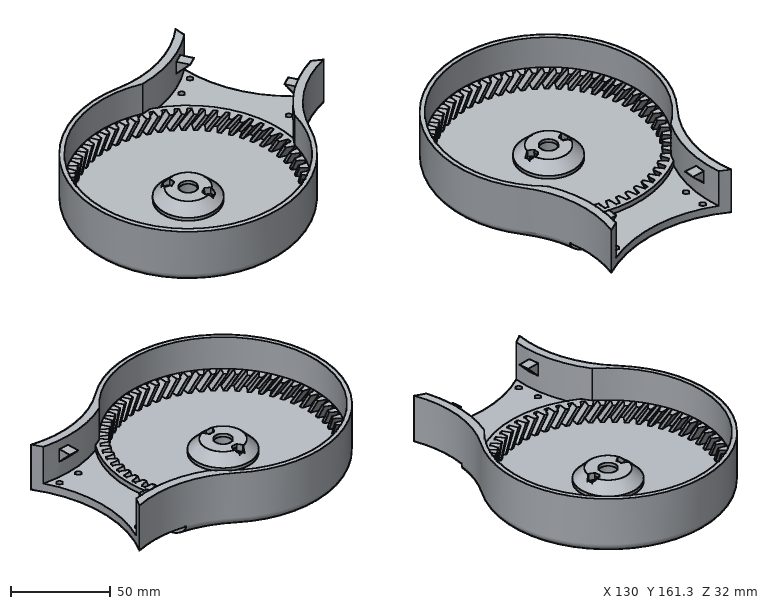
import cadquery as cq
import math

HEIGHT = 32.0
LENGTH = 161.3
DISC_RADIUS = 65.0
WALL = 2.5
INNER_RADIUS = DISC_RADIUS - WALL
TIP_Y = LENGTH - DISC_RADIUS

FLOOR_Z = 3.0
BASE_Z = 5.0
NECK_FLOOR_Z = 10.0
GEAR_TOP_Z = 13.0

SIDE_RADIUS = DISC_RADIUS
SIDE_CENTER_X = 102.4
SIDE_CENTER_Y = math.sqrt((DISC_RADIUS + SIDE_RADIUS) ** 2 - SIDE_CENTER_X ** 2)
NECK_WALL = 5.0
END_DEPTH = 11.0
BASE_RADIUS = 75.0

TEETH = 60
TIP_RADIUS = 57.5
TIP_GAP = 4.0
ROOT_GAP = 1.9
GEAR_TWIST = -6.0

HUB_RADIUS = 36.0 / 2
HUB_EDGE_Z = 5.0
HUB_TOP_Z = 11.0
HUB_TOP_RADIUS = HUB_RADIUS - (HUB_TOP_Z - HUB_EDGE_Z)
BORE_DIAMETER = 10.0
BEARING_DIAMETER = 16.5
BORE_LIP = 2.0
SCREW_DIAMETER = 3.4
HUB_SCREW_X = 11.0
NUT_FLATS = 5.8
NUT_FLOOR_Z = 7.0

NECK_SCREW_X = 28.5
NECK_SCREW_YS = (73.7, 86.8)
CLIP_INNER_X = 25.0
CLIP_OUTER_X = 33.5
CLIP_WIDTH = 6.0
CLIP_Y = SIDE_CENTER_Y
CLIP_TOP_Z = 26.6
CLIP_DROP = CLIP_OUTER_X - CLIP_INNER_X


def side_x(y, radius):
    """X of the neck side to the right of the axis, at distance y along the neck."""
    return SIDE_CENTER_X - math.sqrt(radius ** 2 - (y - SIDE_CENTER_Y) ** 2)


def cylinder(radius, bottom, top):
    return cq.Workplane("XY").workplane(offset=bottom).circle(radius).extrude(top - bottom)


def outline(circle_radius, side_radius, top_y):
    """Keyhole outline: housing circle joined to a neck with concave sides and a straight end."""
    spacing = DISC_RADIUS + SIDE_RADIUS
    cos_offset = (spacing ** 2 + circle_radius ** 2 - side_radius ** 2) / (2 * spacing * circle_radius)
    angle = math.atan2(SIDE_CENTER_Y, SIDE_CENTER_X) + math.acos(min(cos_offset, 1.0))
    join_x = circle_radius * math.cos(angle)
    join_y = circle_radius * math.sin(angle)
    middle_y = (join_y + top_y) / 2
    middle_x = side_x(middle_y, side_radius)
    end_x = side_x(top_y, side_radius)
    return (
        cq.Workplane("XY")
        .moveTo(join_x, join_y)
        .threePointArc((middle_x, middle_y), (end_x, top_y))
        .lineTo(-end_x, top_y)
        .threePointArc((-middle_x, middle_y), (-join_x, join_y))
        .threePointArc((0, -circle_radius), (join_x, join_y))
        .close()
    )


def housing():
    """Solid outer shape with a rounded bottom edge, the thin neck and its concave end."""
    body = outline(DISC_RADIUS, SIDE_RADIUS, TIP_Y).extrude(HEIGHT)
    body = body.faces("<Z").edges("not(>Y)").fillet(BASE_Z)
    neck_relief = (
        cq.Workplane("XY")
        .rect(LENGTH, 2 * LENGTH)
        .circle(BASE_RADIUS)
        .extrude(BASE_Z)
    )
    half_end = side_x(TIP_Y, SIDE_RADIUS)
    end_radius = (half_end ** 2 + END_DEPTH ** 2) / (2 * END_DEPTH)
    end_cut = cylinder(end_radius, 0, HEIGHT).translate((0, TIP_Y - END_DEPTH + end_radius, 0))
    return body.cut(neck_relief).cut(end_cut)


def interior():
    """Open space above the neck floor and above the gear."""
    space = outline(INNER_RADIUS, SIDE_RADIUS + NECK_WALL, TIP_Y).extrude(HEIGHT - NECK_FLOOR_Z)
    space = space.translate((0, 0, NECK_FLOOR_Z))
    return space.cut(cylinder(DISC_RADIUS, NECK_FLOOR_Z, GEAR_TOP_Z))


def polar(radius, degrees):
    return (radius * math.cos(math.radians(degrees)), radius * math.sin(math.radians(degrees)))


def gear_space():
    """Twisted space inside the internal gear, with one outward notch per tooth gap."""
    pitch = 360 / TEETH
    profile = cq.Workplane("XY").moveTo(*polar(TIP_RADIUS, -TIP_GAP / 2))
    for index in range(TEETH):
        angle = index * pitch
        profile = (
            profile.lineTo(*polar(INNER_RADIUS, angle - ROOT_GAP / 2))
            .lineTo(*polar(INNER_RADIUS, angle + ROOT_GAP / 2))
            .lineTo(*polar(TIP_RADIUS, angle + TIP_GAP / 2))
        )
        if index < TEETH - 1:
            profile = profile.lineTo(*polar(TIP_RADIUS, angle + pitch - TIP_GAP / 2))
    space = profile.close().twistExtrude(GEAR_TOP_Z - FLOOR_Z, GEAR_TWIST)
    return space.rotate((0, 0, 0), (0, 0, 1), -GEAR_TWIST).translate((0, 0, FLOOR_Z))


def hub():
    """Round hub with a 45 degree shoulder."""
    return (
        cq.Workplane("XZ")
        .moveTo(0, 0)
        .lineTo(HUB_RADIUS, 0)
        .lineTo(HUB_RADIUS, HUB_EDGE_Z)
        .lineTo(HUB_TOP_RADIUS, HUB_TOP_Z)
        .lineTo(0, HUB_TOP_Z)
        .close()
        .revolve()
    )


def hub_cuts():
    """Shaft bore, bearing seat from below, and two screw holes with nut pockets."""
    cuts = cylinder(BORE_DIAMETER / 2, 0, HUB_TOP_Z)
    cuts = cuts.union(cylinder(BEARING_DIAMETER / 2, 0, HUB_TOP_Z - BORE_LIP))
    nut_corners = NUT_FLATS / math.cos(math.pi / 6)
    for x in (-HUB_SCREW_X, HUB_SCREW_X):
        screw = cylinder(SCREW_DIAMETER / 2, 0, HUB_TOP_Z)
        nut = cq.Workplane("XY").polygon(6, nut_corners).extrude(HUB_TOP_Z - NUT_FLOOR_Z)
        nut = nut.rotate((0, 0, 0), (0, 0, 1), 90).translate((0, 0, NUT_FLOOR_Z))
        cuts = cuts.union(screw.union(nut).translate((x, 0, 0)))
    return cuts


def neck_holes():
    points = [(x, y) for x in (-NECK_SCREW_X, NECK_SCREW_X) for y in NECK_SCREW_YS]
    return cq.Workplane("XY").pushPoints(points).circle(SCREW_DIAMETER / 2).extrude(NECK_FLOOR_Z)


def clip():
    """Right-hand wedge with a flat top and a sloping underside."""
    return (
        cq.Workplane("XZ")
        .moveTo(CLIP_INNER_X, CLIP_TOP_Z)
        .lineTo(CLIP_OUTER_X, CLIP_TOP_Z)
        .lineTo(CLIP_OUTER_X, CLIP_TOP_Z - CLIP_DROP)
        .close()
        .extrude(CLIP_WIDTH / 2, both=True)
        .translate((0, CLIP_Y, 0))
    )


result = housing().cut(interior()).cut(gear_space())
result = result.union(hub()).cut(hub_cuts()).cut(neck_holes())
result = result.union(clip()).union(clip().mirror("YZ"))